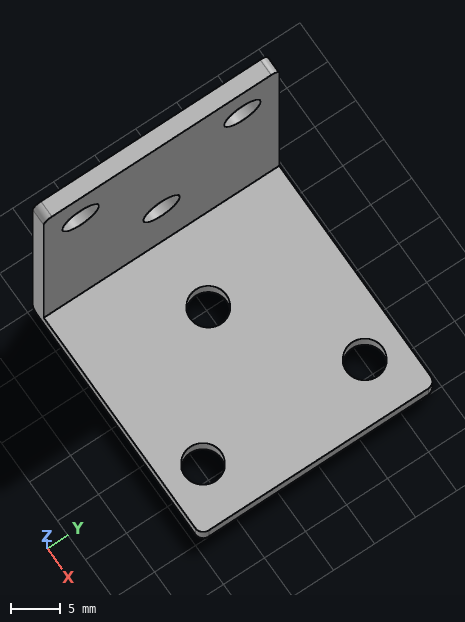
import cadquery as cq

height = 32.0
width = 28.7
thickness = 2.0
leg_length = height - thickness
corner_radius = 1.0
bend_radius = 1.0

hole_diameter = 4.4
near_hole_distance = 10.35
far_hole_distance = 23.85
far_hole_spacing = 19.7
hole_points = [
    (near_hole_distance, 0),
    (far_hole_distance, far_hole_spacing / 2),
    (far_hole_distance, -far_hole_spacing / 2),
]


def make_leg():
    """Flat plate along +X with rounded free corners and three through holes."""
    plate = cq.Workplane("XY").box(leg_length, width, thickness, centered=(False, True, False))
    plate = plate.edges("|Z and >X").fillet(corner_radius)
    holes = cq.Workplane("XY").pushPoints(hole_points).circle(hole_diameter / 2).extrude(thickness)
    return plate.cut(holes)


base = make_leg()
upright = (
    make_leg()
    .rotate((0, 0, 0), (0, 1, 0), -90)
    .translate((thickness, 0, thickness))
)

bracket = base.union(upright)
result = bracket.edges("|Y and <X and <Z").fillet(bend_radius)